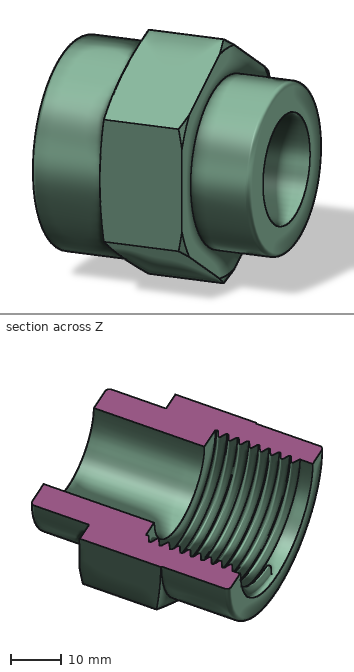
import cadquery as cq
import math

total_length = 46.0
collar_length = 15.0
hex_length = 18.0
collar_and_hex_length = collar_length + hex_length

collar_diameter = 43.6
hex_across_flats = 44.0
hex_across_corners = hex_across_flats / math.cos(math.radians(30))
spigot_diameter = 35.5
rim_fillet = 1.0

collar_chamfer_diameter = collar_diameter
collar_chamfer_angle = 15.0
spigot_chamfer_diameter = 47.2
spigot_chamfer_angle = 22.0

through_diameter = 23.0
thread_major_diameter = 33.25
thread_minor_diameter = 30.29
thread_pitch = 2.309
thread_flank_angle = 27.5
crest_rounding = 0.317
root_rounding = 0.28
thread_start = 2.15
shoulder_depth = 21.5
thread_root_embed = 0.01
wall_overlap = 0.1


def x_cylinder(diameter, x_start, x_end):
    """Cylinder on the X axis."""
    return cq.Workplane("YZ", origin=(x_start, 0, 0)).circle(diameter / 2).extrude(x_end - x_start)


def make_hexagon():
    """Hexagon with two flats facing +Y and -Y, its corners chamfered at both ends."""
    prism = (
        cq.Workplane("YZ", origin=(collar_length, 0, 0))
        .polygon(6, hex_across_corners)
        .extrude(hex_length)
        .rotate((0, 0, 0), (1, 0, 0), 90)
    )
    outer_radius = hex_across_corners / 2
    collar_side_radius = collar_chamfer_diameter / 2
    spigot_side_radius = spigot_chamfer_diameter / 2
    collar_side_run = (outer_radius - collar_side_radius) * math.tan(math.radians(collar_chamfer_angle))
    spigot_side_run = (outer_radius - spigot_side_radius) * math.tan(math.radians(spigot_chamfer_angle))
    envelope = (
        cq.Workplane("XY")
        .moveTo(collar_length, 0)
        .lineTo(collar_length, collar_side_radius)
        .lineTo(collar_length + collar_side_run, outer_radius)
        .lineTo(collar_and_hex_length - spigot_side_run, outer_radius)
        .lineTo(collar_and_hex_length, spigot_side_radius)
        .lineTo(collar_and_hex_length, 0)
        .close()
        .revolve(360, (0, 0, 0), (1, 0, 0))
    )
    return prism.intersect(envelope)


def make_blank():
    """Collar, hexagon and spigot joined, before boring."""
    collar = x_cylinder(collar_diameter, 0, collar_length).faces("<X").edges().fillet(rim_fillet)
    spigot = x_cylinder(spigot_diameter, collar_and_hex_length, total_length)
    spigot = spigot.faces(">X").edges().fillet(rim_fillet)
    return collar.union(make_hexagon()).union(spigot)


def ridge_half_profile():
    """Half of the ridge outline as (radius, axial offset) points, from the crest to the wall."""
    flank = math.radians(thread_flank_angle)
    crest_radius = thread_minor_diameter / 2
    root_radius = thread_major_diameter / 2 + thread_root_embed
    mid_radius = (thread_minor_diameter + thread_major_diameter) / 4
    half_root = thread_pitch / 4 + (root_radius - mid_radius) * math.tan(flank)

    crest_apex = (crest_radius, 0)
    crest_end = (
        crest_radius + crest_rounding * (1 - math.sin(flank)),
        crest_rounding * math.cos(flank),
    )
    tangent_length = root_rounding * math.tan((math.pi / 2 - flank) / 2)
    root_start = (
        root_radius - tangent_length * math.cos(flank),
        half_root - tangent_length * math.sin(flank),
    )
    root_end = (root_radius, half_root + tangent_length)
    arc_centre = (root_radius - root_rounding, half_root + tangent_length)
    bisector = (math.pi / 2 - flank) / 2
    root_mid = (
        arc_centre[0] + root_rounding * math.cos(bisector),
        arc_centre[1] - root_rounding * math.sin(bisector),
    )
    wall_end = (root_radius + wall_overlap, root_end[1])
    return crest_apex, crest_end, root_start, root_mid, root_end, wall_end


def mirrored(point):
    """The same point on the other side of the ridge's middle."""
    return (point[0], -point[1])


def make_thread():
    """Helical thread ridge, built along Z and then laid along X, its start rounded down to the wall."""
    crest_apex, crest_end, root_start, root_mid, root_end, wall_end = ridge_half_profile()
    ridge_profile = (
        cq.Sketch()
        .segment(mirrored(wall_end), mirrored(root_end))
        .arc(mirrored(root_end), mirrored(root_mid), mirrored(root_start))
        .segment(mirrored(root_start), mirrored(crest_end))
        .arc(mirrored(crest_end), crest_apex, crest_end)
        .segment(crest_end, root_start)
        .arc(root_start, root_mid, root_end)
        .segment(root_end, wall_end)
        .close()
        .assemble()
    )
    profile_plane = cq.Workplane("XZ")
    helix_height = shoulder_depth + thread_pitch / 2 - thread_start
    helix = cq.Wire.makeHelix(thread_pitch, helix_height, crest_apex[0])
    helix_path = cq.Workplane("XY").add(helix)
    ridge = profile_plane.placeSketch(ridge_profile).sweep(helix_path, isFrenet=True)

    rounded_start = profile_plane.placeSketch(ridge_profile).revolve(90, mirrored(wall_end), wall_end)
    thread = ridge.union(rounded_start, clean=False)
    return thread.rotate((0, 0, 0), (0, 1, 0), 90).translate((thread_start, 0, 0))


fitting = make_blank()
fitting = fitting.cut(x_cylinder(through_diameter, 0, total_length))
fitting = fitting.cut(x_cylinder(thread_major_diameter, 0, shoulder_depth))
result = fitting.union(make_thread(), clean=False)